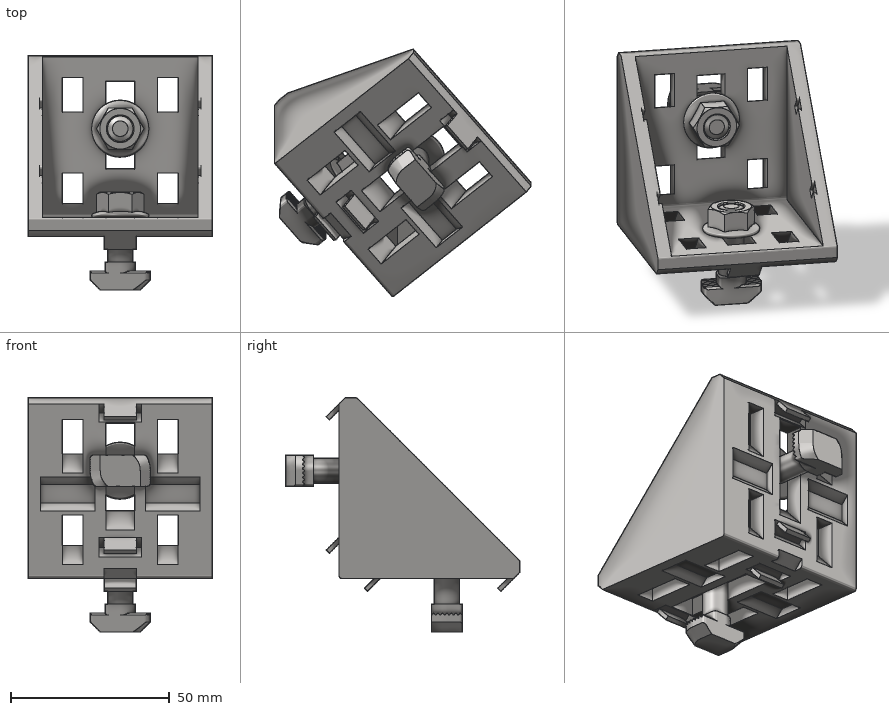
import cadquery as cq
import math


width = 58.0
leg = 57.0
plate = 6.0
inner_width = 49.0
corner_round = 1.0
inner_round = 1.0
tip_chamfer = 2.0
tip_round = 0.75
tip_face_end = 5.6

side_slot_width = 6.4
side_slot_offset = 15.0
side_slot_spans = [(4.5, 20.0), (33.3, 50.1)]
centre_slot_width = 9.1
centre_slot_span = (15.4, 48.9)

trough_inner_x = 7.9
trough_outer_x = 25.1
trough_bottom = 21.3
trough_top = 32.1
trough_depth = 2.5

tab_width = 10.1
tab_reach = 4.0
tab_tip_step = 1.0
recess_width = 13.5
recesses = [(leg - tip_chamfer, 2.85), (13.0, 3.1)]
corner_notch = 3.2

clip_offset = 15.0
clip_gap = 2.8
clip_mouth_radius = 1.0
clip_depth = 4.0
clip_bite = 1.0

bolt_height = 34.0
shank_radius = 4.0
neck_start = 8.0
neck_length = 2.8
neck_width = 9.5
head_height = 6.0
head_length = 19.0
head_width = 9.8
head_corner = 1.0
head_chamfer = 3.2
tooth_count = 7
tooth_pitch = head_width / tooth_count
tooth_depth = tooth_pitch / 2
bolt_end_radius = 2.45
bolt_end_angle = 20.0

nut_height = 8.0
nut_across_flats = 13.0
nut_top_radius = 6.4
nut_top_angle = 30.0
flange_radius = 9.0
flange_edge_radius = 0.65
flange_angle = 20.0
nut_countersink = 0.35


def prism_x(points, length, x_centre=0.0):
    """Closed (y, z) outline extruded along X, centred on x_centre."""
    plane = cq.Workplane("YZ").workplane(offset=x_centre)
    return plane.polyline(points).close().extrude(length / 2, both=True)


def mirrored_legs(shape):
    """The shape on the front wall together with its mirror image on the base."""
    return [shape, shape.mirror((0, 1, -1))]


def bracket_shell():
    outline = [
        (0, 0),
        (leg - tip_chamfer, 0),
        (leg, tip_chamfer),
        (leg, tip_face_end),
        (tip_face_end, leg),
        (tip_chamfer, leg),
        (0, leg - tip_chamfer),
    ]
    body = prism_x(outline, width)
    rounded_edges = [(0, 0, corner_round), (leg, tip_face_end, tip_round), (tip_face_end, leg, tip_round)]
    for y, z, radius in rounded_edges:
        body = body.edges(cq.selectors.NearestToPointSelector((0, y, z))).fillet(radius)
    cavity = prism_x([(plate, plate), (leg, plate), (leg, leg), (plate, leg)], inner_width)
    cavity = cavity.edges(cq.selectors.NearestToPointSelector((0, plate, plate))).fillet(inner_round)
    return body.cut(cavity)


def slot(slot_width, x_centre, bottom, top):
    return prism_x([(0, bottom), (plate, bottom + plate), (plate, top), (0, top)], slot_width, x_centre)


def trough(side):
    outline = [
        (0, trough_bottom),
        (trough_depth, trough_bottom + trough_depth),
        (trough_depth, trough_top - trough_depth),
        (0, trough_top),
    ]
    x_centre = side * (trough_inner_x + trough_outer_x) / 2
    return prism_x(outline, trough_outer_x - trough_inner_x, x_centre)


def tab_recess(top, depth):
    return prism_x([(0, top), (depth, top - depth), (0, top - 2 * depth)], recess_width)


def tab(top):
    outline = [
        (0, top),
        (-tab_reach, top - tab_reach),
        (-tab_reach + tab_tip_step, top - tab_reach - tab_tip_step),
        (tab_tip_step, top - tab_tip_step),
    ]
    return prism_x(outline, tab_width)


def clip_groove(side, offset):
    """Groove square to the sloping edge; its mouth widens through two quarter rounds."""
    slope_middle = (leg + tip_face_end) / 2
    x_inner = side * inner_width / 2
    slope = cq.Plane(origin=(x_inner, slope_middle, slope_middle), xDir=(0, 1, -1), normal=(side, 0, 0))
    inward = -1 if slope.yDir.z > 0 else 1
    half_gap = clip_gap / 2
    half_mouth = half_gap + clip_mouth_radius
    arc_out = half_mouth - clip_mouth_radius * math.sin(math.pi / 4)
    arc_in = clip_mouth_radius * (1 - math.cos(math.pi / 4))
    return (
        cq.Workplane(slope)
        .center(offset, 0)
        .moveTo(-half_mouth, 0)
        .threePointArc((-arc_out, inward * arc_in), (-half_gap, inward * clip_mouth_radius))
        .lineTo(-half_gap, inward * clip_depth)
        .lineTo(half_gap, inward * clip_depth)
        .lineTo(half_gap, inward * clip_mouth_radius)
        .threePointArc((arc_out, inward * arc_in), (half_mouth, 0))
        .close()
        .extrude(clip_bite)
    )


def make_bracket():
    cutters = [slot(centre_slot_width, 0, *centre_slot_span)]
    for side in (-1, 1):
        cutters.append(trough(side))
        for span in side_slot_spans:
            cutters.append(slot(side_slot_width, side * side_slot_offset, *span))
    for top, depth in recesses:
        cutters.append(tab_recess(top, depth))

    body = bracket_shell()
    for cutter in cutters:
        for copy in mirrored_legs(cutter):
            body = body.cut(copy)
    body = body.cut(prism_x([(0, 0), (corner_notch, 0), (0, corner_notch)], tab_width))
    for side in (-1, 1):
        for offset in (-clip_offset, clip_offset):
            body = body.cut(clip_groove(side, offset))
    for top, _ in recesses:
        for copy in mirrored_legs(tab(top)):
            body = body.union(copy)
    return body


def quadrant_pair(sign, start, height):
    """Two opposite quadrants: sign 1 where x and y agree, sign -1 where they differ."""
    reach = head_length
    pair = cq.Workplane("XY")
    for x_side in (-1, 1):
        centre = (x_side * reach / 2, sign * x_side * reach / 2)
        block = cq.Workplane("XY").workplane(offset=start).center(*centre).rect(reach, reach).extrude(height)
        pair = pair.add(block)
    return pair.combine()


def combine_quadrants(square, turned, start, height):
    """Square shape with two opposite quadrants replaced by the turned shape."""
    square_part = square.intersect(quadrant_pair(-1, start, height))
    turned_part = turned.intersect(quadrant_pair(1, start, height))
    return square_part.union(turned_part)


def bolt_neck():
    height = neck_length + tooth_depth
    base = cq.Workplane("XY").workplane(offset=neck_start)
    square = base.rect(neck_width, head_width).extrude(height).edges("|Z").fillet(head_corner)
    turned = base.ellipse(neck_width / 2, head_width / 2).extrude(height)
    return combine_quadrants(square, turned, neck_start, height)


def bolt_head():
    start = neck_start + neck_length
    base = cq.Workplane("XY").workplane(offset=start)
    block = base.rect(head_length, head_width).extrude(head_height)
    square = block.edges("|Z").fillet(head_corner)
    end_chamfers = block.faces(">Z").edges("|Y").chamfer(head_chamfer)
    square = square.intersect(end_chamfers)
    disc = base.circle(head_length / 2).extrude(head_height).faces(">Z").edges().chamfer(head_chamfer)
    turned = base.circle(head_length / 2).extrude(head_height).intersect(block)
    turned = turned.edges("|Z").fillet(head_corner).intersect(disc)
    head = combine_quadrants(square, turned, start, head_height)

    for index in range(tooth_count + 1):
        valley = (index - tooth_count / 2) * tooth_pitch
        groove = [
            (valley - tooth_pitch / 2, start),
            (valley + tooth_pitch / 2, start),
            (valley, start + tooth_depth),
        ]
        head = head.cut(prism_x(groove, head_length))
    return head


def make_bolt():
    end = -plate - nut_height
    end_taper = (shank_radius - bolt_end_radius) * math.tan(math.radians(bolt_end_angle))
    shank = (
        cq.Workplane("XZ")
        .polyline(
            [
                (0, end),
                (bolt_end_radius, end),
                (shank_radius, end + end_taper),
                (shank_radius, neck_start),
                (0, neck_start),
            ]
        )
        .close()
        .revolve(360, (0, 0, 0), (0, 1, 0))
    )
    return shank.union(bolt_neck()).union(bolt_head())


def make_nut():
    """Flange nut seated on the inner face of a leg, built upwards from its bearing face and turned over."""
    corner_radius = nut_across_flats / math.sqrt(3)
    hexagon = cq.Workplane("XY").polygon(6, 2 * corner_radius).extrude(nut_height)
    top_drop = (corner_radius - nut_top_radius) * math.tan(math.radians(nut_top_angle))
    turned_top = (
        cq.Workplane("XZ")
        .polyline(
            [
                (0, 0),
                (corner_radius, 0),
                (corner_radius, nut_height - top_drop),
                (nut_top_radius, nut_height),
                (0, nut_height),
            ]
        )
        .close()
        .revolve(360, (0, 0, 0), (0, 1, 0))
    )

    slope = math.radians(flange_angle)
    edge_centre = flange_radius - flange_edge_radius
    cone_start = (
        edge_centre + flange_edge_radius * math.sin(slope),
        flange_edge_radius * (1 + math.cos(slope)),
    )
    cone_top = cone_start[1] + (cone_start[0] - shank_radius) * math.tan(slope)
    flange = (
        cq.Workplane("XZ")
        .lineTo(edge_centre, 0)
        .threePointArc((flange_radius, flange_edge_radius), cone_start)
        .lineTo(shank_radius, cone_top)
        .lineTo(0, cone_top)
        .close()
        .revolve(360, (0, 0, 0), (0, 1, 0))
    )

    bore = cq.Workplane("XY").circle(shank_radius).extrude(nut_height)
    nut = hexagon.intersect(turned_top).union(flange).cut(bore)
    countersink = (
        cq.Workplane("XY")
        .workplane(offset=nut_height)
        .circle(shank_radius + nut_countersink)
        .workplane(offset=-nut_countersink)
        .circle(shank_radius)
        .loft()
    )
    nut = nut.cut(countersink)
    return nut.rotate((0, 0, 0), (1, 0, 0), 180).translate((0, 0, -plate))


bracket = make_bracket()
bolt = make_bolt()
nut = make_nut()

fastener_planes = [
    cq.Plane(origin=(0, 0, bolt_height), xDir=(1, 0, 0), normal=(0, -1, 0)),
    cq.Plane(origin=(0, bolt_height, 0), xDir=(1, 0, 0), normal=(0, 0, -1)),
]
bolts = []
nuts = []
for plane in fastener_planes:
    place = cq.Location(plane)
    bolts.append(bolt.solids().val().moved(place))
    nuts.append(nut.solids().val().moved(place))

result = cq.Compound.makeCompound([bracket.solids().val(), *bolts, *nuts])